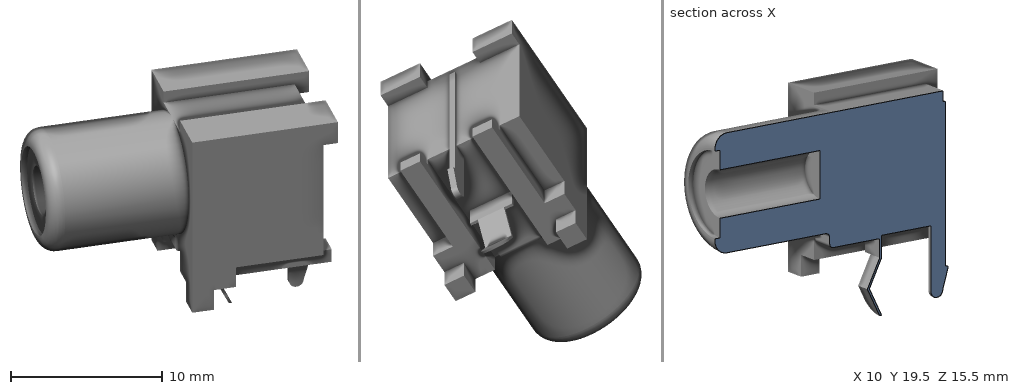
import cadquery as cq
import math


body_width = 10.0
body_depth = 10.0
body_top = body_width / 2
base_z = -6.5
foot_z = -8.0
foot_width = 1.5
foot_depth = 1.5

barrel_diameter = 8.3
barrel_length = 9.5
barrel_round = 1.0
recess_diameter = 6.0
recess_depth = 0.4
bore_diameter = 3.3
bore_depth = 8.5
barrel_radius = barrel_diameter / 2

channel_width = 4.0
bottom_channel_z = -5.0
side_step_y = 3.0
rear_step_depth = 1.0
rear_wall_y = body_depth - rear_step_depth
upper_flange_z = 3.4
lower_lip_z = -5.55

sheet = 0.2
contact_width = 3.2
contact_bend = 0.3
contact_drop_y = 3.85
leaf_width = 2.0
leaf_apex_y = 2.85
leaf_apex_z = -8.5
leaf_tip_z = -10.5

pin_width = 0.45
pin_front_y = 8.0
pin_projection = 0.2
pin_rear_y = rear_wall_y + pin_projection
barb_rear_y = 9.45
barb_z = -8.0
barb_rise = 0.1
pin_tip_z = -10.0
pin_tip_radius = 0.5


def block(x0, x1, y0, y1, z0, z1):
    """Box between two opposite corners."""
    return cq.Workplane("XY").box(x1 - x0, y1 - y0, z1 - z0, centered=False).translate((x0, y0, z0))


def extrude_side(profile, width):
    """Extrude a closed (y, z) profile symmetrically about x = 0."""
    return profile.close().extrude(width / 2, both=True)


def make_housing():
    half_body = body_width / 2
    half_channel = channel_width / 2
    inset = half_body - foot_width
    housing = block(-half_body, half_body, 0, body_depth, base_z, body_top)
    for z0, z1 in ((barrel_radius, body_top), (base_z, bottom_channel_z)):
        housing = housing.cut(block(-half_channel, half_channel, 0, body_depth, z0, z1))

    housing = housing.cut(block(-half_body, half_body, rear_wall_y, body_depth, lower_lip_z, upper_flange_z))
    housing = housing.cut(block(-half_channel, half_channel, rear_wall_y, body_depth, base_z, body_top))

    for x0 in (-half_body, inset):
        x1 = x0 + foot_width
        housing = housing.cut(block(x0, x1, side_step_y, body_depth, base_z, bottom_channel_z))
        housing = housing.union(block(x0, x1, 0, foot_depth, foot_z, base_z))
    return housing


def make_barrel():
    barrel = cq.Workplane("XZ").circle(barrel_radius).extrude(barrel_length)
    return barrel.faces("<Y").edges().fillet(barrel_round)


def socket_cut(diameter, depth):
    """Round hole of the given depth, entered from the front of the barrel."""
    return cq.Workplane("XZ", origin=(0, depth - barrel_length, 0)).circle(diameter / 2).extrude(depth)


def make_contact_strip():
    """Sheet down the front face, back under the housing and down to the leaf."""
    bottom = bottom_channel_z - sheet
    back = contact_drop_y + sheet
    upright = block(-contact_width / 2, contact_width / 2, -sheet, 0, bottom, 0)
    shelf = block(-contact_width / 2, contact_width / 2, -sheet, back, bottom, bottom_channel_z)
    drop = block(-contact_width / 2, contact_width / 2, contact_drop_y, back, base_z, bottom)
    bent = upright.union(shelf).edges("|X and <Y and <Z").fillet(contact_bend)
    return bent.union(drop)


def make_contact_fillet():
    """Concave fillet between the upright sheet and the barrel."""
    outer = barrel_radius + contact_bend
    front = -sheet - contact_bend
    mid_offset = contact_bend * math.sqrt(0.5)
    ring = (
        cq.Workplane("XY")
        .moveTo(barrel_radius - contact_bend, -sheet)
        .lineTo(outer, -sheet)
        .threePointArc((outer - mid_offset, front + mid_offset), (barrel_radius, front))
        .lineTo(barrel_radius - contact_bend, front)
        .close()
        .revolve(360, (0, 0, 0), (0, 1, 0))
    )
    return ring.intersect(block(-contact_width / 2, contact_width / 2, front, 0, -outer, 0))


def make_leaf():
    """V-shaped spring leaf with a round tip."""
    apex_back = leaf_apex_y + sheet
    drop_back = contact_drop_y + sheet
    profile = cq.Workplane("YZ").polyline([
        (contact_drop_y, base_z),
        (leaf_apex_y, leaf_apex_z),
        (contact_drop_y, leaf_tip_z),
        (drop_back, leaf_tip_z),
        (apex_back, leaf_apex_z),
        (drop_back, base_z),
    ])
    radius = leaf_width / 2
    outline = (
        cq.Workplane("XZ", origin=(0, body_depth, 0))
        .moveTo(-radius, base_z)
        .lineTo(-radius, leaf_tip_z + radius)
        .threePointArc((0, leaf_tip_z), (radius, leaf_tip_z + radius))
        .lineTo(radius, base_z)
        .close()
        .extrude(body_depth)
    )
    return extrude_side(profile, leaf_width).intersect(outline)


def make_center_pin():
    """Flat terminal set in the rear wall, with a barb and a round tip."""
    tip_center_y = pin_front_y + pin_tip_radius
    tip_center_z = pin_tip_z + pin_tip_radius
    profile = (
        cq.Workplane("YZ")
        .moveTo(pin_front_y, upper_flange_z)
        .lineTo(pin_rear_y, upper_flange_z)
        .lineTo(pin_rear_y, barb_z + barb_rise)
        .lineTo(barb_rear_y, barb_z)
        .lineTo(tip_center_y + pin_tip_radius, tip_center_z)
        .threePointArc((tip_center_y, pin_tip_z), (pin_front_y, tip_center_z))
    )
    return extrude_side(profile, pin_width)


result = (
    make_housing()
    .union(make_barrel())
    .union(make_contact_strip())
    .union(make_contact_fillet())
    .union(make_leaf())
    .union(make_center_pin())
    .cut(socket_cut(recess_diameter, recess_depth))
    .cut(socket_cut(bore_diameter, bore_depth))
)